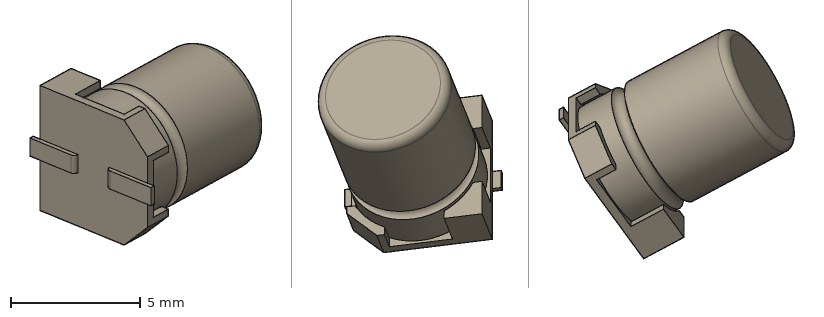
import cadquery as cq
import math


base_width = 5.5
corner_chamfer = 1.2
floor_thickness = 0.36
tall_post_height = 1.84
short_post_height = 1.235
slot_width = 2.5
seat_radius = 2.7

can_radius = 2.635
can_top = 7.1
can_edge_radius = 0.36
groove_radius = 0.3
groove_height = 2.19

lead_thickness = 0.2
lead_width = 0.795
lead_span = 6.2
lead_inner_end = 0.8
lead_outer_end = lead_span / 2


def box_along_y(width_x, width_z, y_start, y_end):
    """Box centred on the can axis, between two heights along Y."""
    return cq.Workplane("XY").box(width_x, y_end - y_start, width_z).translate((0, (y_start + y_end) / 2, 0))


def make_base():
    """Square base with two chamfered corners and a post at each corner around the can."""
    half_width = base_width / 2
    base = box_along_y(base_width, base_width, 0, tall_post_height)
    base = base.edges("|Y and >X").chamfer(corner_chamfer)

    above_short_posts = box_along_y(half_width, base_width, short_post_height, tall_post_height)
    base = base.cut(above_short_posts.translate((half_width / 2, 0, 0)))

    base = base.cut(box_along_y(slot_width, base_width, floor_thickness, tall_post_height))
    base = base.cut(box_along_y(base_width, slot_width, floor_thickness, tall_post_height))

    seat_depth = tall_post_height - floor_thickness
    seat = cq.Workplane("XZ", origin=(0, floor_thickness, 0)).circle(seat_radius).extrude(-seat_depth)
    return base.cut(seat).solids()


def make_can():
    """Turned can with a rounded top edge and a half-round crimp groove."""
    edge_arc_offset = can_edge_radius * (1 - math.sqrt(0.5))
    profile = (
        cq.Workplane("XY")
        .moveTo(0, floor_thickness)
        .lineTo(can_radius, floor_thickness)
        .lineTo(can_radius, groove_height - groove_radius)
        .threePointArc(
            (can_radius - groove_radius, groove_height),
            (can_radius, groove_height + groove_radius),
        )
        .lineTo(can_radius, can_top - can_edge_radius)
        .threePointArc(
            (can_radius - edge_arc_offset, can_top - edge_arc_offset),
            (can_radius - can_edge_radius, can_top),
        )
        .lineTo(0, can_top)
        .close()
    )
    return profile.revolve(360, (0, 0, 0), (0, 1, 0))


def make_lead(side):
    """Flat lead under the base, its inner end rounded over; side is -1 or +1 along X."""
    arc_offset = lead_thickness * (1 - math.sqrt(0.5))
    return (
        cq.Workplane("XY")
        .moveTo(side * lead_outer_end, 0)
        .lineTo(side * lead_inner_end, 0)
        .threePointArc(
            (side * (lead_inner_end + arc_offset), arc_offset - lead_thickness),
            (side * (lead_inner_end + lead_thickness), -lead_thickness),
        )
        .lineTo(side * lead_outer_end, -lead_thickness)
        .close()
        .extrude(lead_width / 2, both=True)
    )


base = make_base()
can = make_can()
leads = [make_lead(side) for side in (-1, 1)]

result = cq.Compound.makeCompound([base.val(), can.val(), *[lead.val() for lead in leads]])